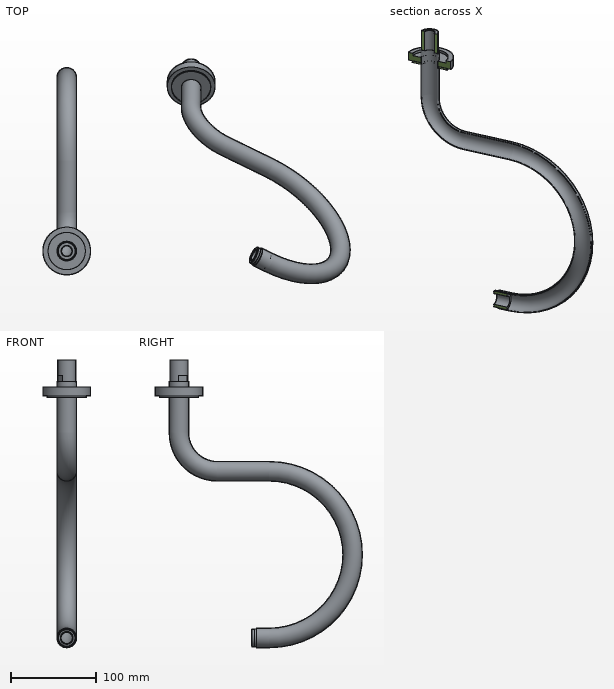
import cadquery as cq

pipe_radius = 11.5
pipe_bore_radius = 10.0
pipe_top_z = -25.5
drop_end_z = -85.5
small_bend_radius = 45.0
level_run_length = 60.7
large_bend_radius = 97.5
outlet_run_length = 15.1

nipple_radius = 10.7
nipple_bore_radius = 6.0
nipple_rim_width = 0.8
nipple_rim_drop = 0.4
nipple_bore_chamfer = 0.6
flats_width = 18.0
flats_height = 7.0
flats_angle = 30.0

flange_radius = 28.0
flange_top_z = -31.7
flange_thickness = 10.5
recess_radius = 21.8
recess_depth = 3.0
gasket_radius = 23.0
gasket_thickness = 2.0

washer_radius = 10.7
washer_thickness = 2.3

outlet_radius = 10.4
outlet_length = 3.5
outlet_bore_radius = 6.6
outlet_rim_chamfer = 0.8
outlet_bore_chamfer = 0.9
outlet_spigot_length = 12.0

level_z = drop_end_z - small_bend_radius
small_bend_end_y = small_bend_radius
large_bend_start_y = small_bend_end_y + level_run_length
outlet_z = level_z - 2 * large_bend_radius
pipe_end_y = large_bend_start_y - outlet_run_length
outlet_shoulder_y = pipe_end_y - washer_thickness


def make_ring(outer_radius, inner_radius, bottom_z, height):
    """Upright ring around the Z axis."""
    return (
        cq.Workplane("XY", origin=(0, 0, bottom_z))
        .circle(outer_radius)
        .circle(inner_radius)
        .extrude(height)
    )


def make_pipe():
    """Hollow pipe swept along the bent centre line."""
    diagonal = small_bend_radius * 0.5**0.5
    small_bend_middle = (small_bend_radius - diagonal, drop_end_z - diagonal)
    large_bend_middle = (large_bend_start_y + large_bend_radius, level_z - large_bend_radius)
    centre_line = (
        cq.Workplane("YZ")
        .moveTo(0, pipe_top_z)
        .lineTo(0, drop_end_z)
        .threePointArc(small_bend_middle, (small_bend_end_y, level_z))
        .lineTo(large_bend_start_y, level_z)
        .threePointArc(large_bend_middle, (large_bend_start_y, outlet_z))
        .lineTo(pipe_end_y, outlet_z)
    )
    profile = cq.Workplane("XY", origin=(0, 0, pipe_top_z)).circle(pipe_radius).circle(pipe_bore_radius)
    return profile.sweep(centre_line)


def make_nipple():
    """Tubular inlet with a pair of spanner flats at its foot."""
    profile = [
        (nipple_bore_radius, pipe_top_z),
        (nipple_radius, pipe_top_z),
        (nipple_radius, -nipple_rim_drop),
        (nipple_radius - nipple_rim_width, 0),
        (nipple_bore_radius + nipple_bore_chamfer, 0),
        (nipple_bore_radius, -nipple_bore_chamfer),
    ]
    nipple = cq.Workplane("XZ").polyline(profile).close().revolve(360, (0, 0, 0), (0, 1, 0))
    band = cq.Workplane("XY", origin=(0, 0, pipe_top_z)).circle(2 * nipple_radius).extrude(flats_height)
    slab = (
        cq.Workplane("XY", origin=(0, 0, pipe_top_z))
        .transformed(rotate=(0, 0, flats_angle))
        .rect(flats_width, 4 * nipple_radius)
        .extrude(flats_height)
    )
    return nipple.cut(band.cut(slab))


def make_flange():
    """Round flange with a shallow recess in its upper face."""
    flange = make_ring(flange_radius, pipe_radius, flange_top_z - flange_thickness, flange_thickness)
    recess = make_ring(recess_radius, pipe_radius, flange_top_z - recess_depth, recess_depth)
    return flange.cut(recess)


def make_gasket():
    """Flat gasket under the flange."""
    bottom_z = flange_top_z - flange_thickness - gasket_thickness
    return make_ring(gasket_radius, pipe_radius, bottom_z, gasket_thickness)


def make_washer():
    """Washer between the pipe end and the shoulder of the outlet insert."""
    return (
        cq.Workplane("XZ", origin=(0, pipe_end_y, outlet_z))
        .circle(washer_radius)
        .circle(pipe_bore_radius)
        .extrude(washer_thickness)
    )


def make_outlet():
    """Bored outlet head pointing toward -Y, with a spigot that fills the pipe bore."""
    spigot_end = washer_thickness + outlet_spigot_length
    profile = [
        (spigot_end, outlet_bore_radius),
        (spigot_end, pipe_bore_radius),
        (0, pipe_bore_radius),
        (0, outlet_radius),
        (outlet_rim_chamfer - outlet_length, outlet_radius),
        (-outlet_length, outlet_radius - outlet_rim_chamfer),
        (-outlet_length, outlet_bore_radius + outlet_bore_chamfer),
        (outlet_bore_chamfer - outlet_length, outlet_bore_radius),
    ]
    half_section = cq.Workplane("YZ", origin=(0, outlet_shoulder_y, outlet_z)).polyline(profile).close()
    return half_section.revolve(360, (0, 0, 0), (1, 0, 0))


pipe = make_pipe()
nipple = make_nipple()
flange = make_flange()
gasket = make_gasket()
washer = make_washer()
outlet = make_outlet()

result = cq.Compound.makeCompound(
    [pipe.val(), nipple.val(), flange.val(), gasket.val(), washer.val(), outlet.val()]
)